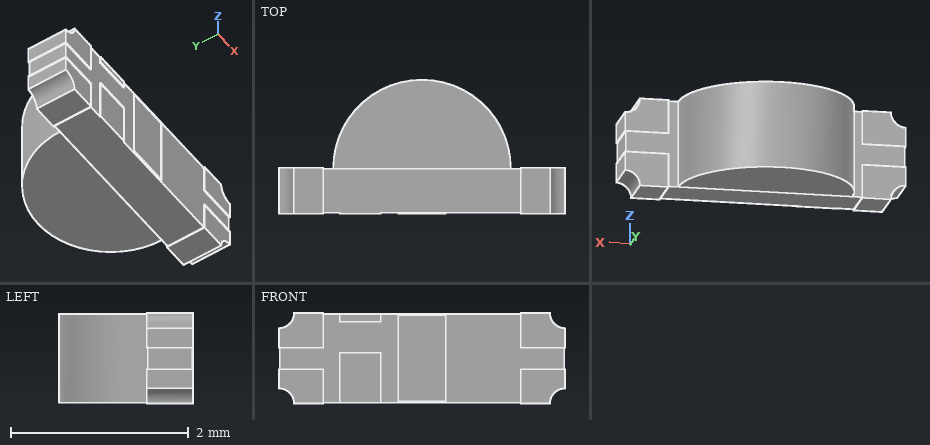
import cadquery as cq

overall_length = 3.22
overall_height = 1.02

plating = 0.01
board_length = overall_length - 2 * plating
board_thickness = 0.5
board_height = overall_height - 2 * plating
board_front = -board_thickness / 2
board_back = board_thickness / 2

terminal_length = 0.5
terminal_gap = 0.24
terminal_height = (overall_height - terminal_gap) / 2
terminal_thickness = board_thickness + 2 * plating
notch_radius = 0.17

mark_left = -0.927
mark_width = 0.465
lower_mark_height = 0.565
upper_mark_height = 0.09

label_width = 0.535
label_height = 0.963

lens_diameter = 2.0
lens_radius = lens_diameter / 2


def block(length, thickness, height, center):
    """A box of the given X, Y and Z sizes around a center point."""
    return cq.Workplane("XY").box(length, thickness, height).translate(center)


def corner_terminal(x_side, z_side):
    """A terminal wrapped over the board corner on the given X and Z sides."""
    center_x = x_side * (overall_length - terminal_length) / 2
    center_z = z_side * (overall_height - terminal_height) / 2
    return block(terminal_length, terminal_thickness, terminal_height, (center_x, 0, center_z))


def corner_notch(x_side, z_side):
    """A round cutter along Y, centered on an outer corner of the terminals."""
    return (
        cq.Workplane("XZ", origin=(0, terminal_thickness / 2, 0))
        .center(x_side * overall_length / 2, z_side * overall_height / 2)
        .circle(notch_radius)
        .extrude(terminal_thickness)
    )


def front_plate(width, height, center_x, center_z):
    """A thin raised rectangle on the front face of the board."""
    return block(width, plating, height, (center_x, board_front - plating / 2, center_z))


def make_board():
    """The board with its terminals, polarity marks, label and notched corners."""
    board = block(board_length, board_thickness, board_height, (0, 0, 0))

    corners = [(x_side, z_side) for x_side in (-1, 1) for z_side in (-1, 1)]
    for x_side, z_side in corners:
        board = board.union(corner_terminal(x_side, z_side))
    for x_side, z_side in corners:
        board = board.cut(corner_notch(x_side, z_side))

    mark_x = mark_left + mark_width / 2
    for mark_height, z_side in ((lower_mark_height, -1), (upper_mark_height, 1)):
        mark_z = z_side * (board_height - mark_height) / 2
        board = board.union(front_plate(mark_width, mark_height, mark_x, mark_z))

    return board.union(front_plate(label_width, label_height, 0, 0))


def make_lens():
    """A half disc as tall as the board, its flat side on the back face."""
    return (
        cq.Workplane("XY")
        .workplane(offset=-board_height / 2)
        .moveTo(-lens_radius, board_back)
        .threePointArc((0, board_back + lens_radius), (lens_radius, board_back))
        .close()
        .extrude(board_height)
    )


board = make_board()
lens = make_lens()

result = cq.Compound.makeCompound([board.solids().val(), lens.val()])